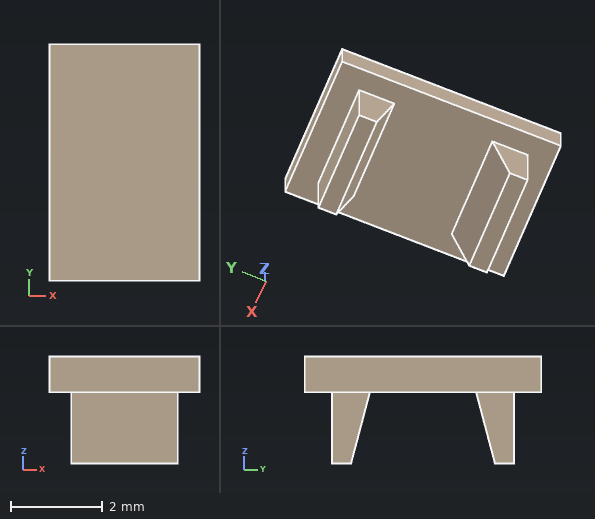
import cadquery as cq

plate_width = 3.3
plate_length = 5.2
plate_thickness = 0.79

total_height = 2.36
leg_height = total_height - plate_thickness
leg_width = 2.35
leg_inset = 0.6
leg_root = 0.835
leg_tip = 0.42
leg_outer_y = plate_length / 2 - leg_inset


def make_leg(side):
    """Leg below the plate at the +Y (side=1) or -Y (side=-1) end."""
    profile = [
        (side * leg_outer_y, 0),
        (side * leg_outer_y, -leg_height),
        (side * (leg_outer_y - leg_tip), -leg_height),
        (side * (leg_outer_y - leg_root), 0),
    ]
    return cq.Workplane("YZ").polyline(profile).close().extrude(leg_width / 2, both=True)


result = cq.Workplane("XY").rect(plate_width, plate_length).extrude(plate_thickness)
for end in (1, -1):
    result = result.union(make_leg(end))